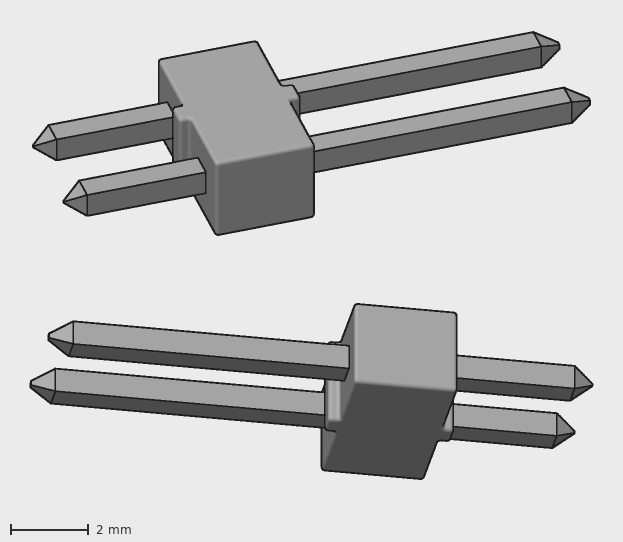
import cadquery as cq

total_length = 14.22
housing_width = 4.83
housing_depth = 2.69
housing_height = 2.35
edge_round = 0.102

rib_width = 0.63
rib_projection = 0.3

pin_pitch = 2.55
pin_size = 0.67
front_pin_length = 3.74
front_tip_length = 0.53
front_tip_size = 0.04
back_pin_length = total_length - housing_depth - front_pin_length
back_tip_length = 0.58
back_tip_size = 0.13

front_face_y = -housing_depth / 2
back_face_y = housing_depth / 2


def make_housing():
    """Block with a rib on the front and back, all edges rounded."""
    block = cq.Workplane("XY").box(housing_width, housing_depth, housing_height)
    ribs = cq.Workplane("XY").box(rib_width, housing_depth + 2 * rib_projection, housing_height)
    upright_edges_rounded = block.union(ribs).edges("|Z").fillet(edge_round)
    return upright_edges_rounded.faces("|Z").edges().fillet(edge_round)


def make_pin(x, face_y, direction, length, tip_length, tip_size):
    """Blunt-tipped pin on a housing face; direction is +1 for the back and -1 for the front."""
    face = cq.Plane(origin=(x, face_y, 0), xDir=(1, 0, 0), normal=(0, direction, 0))
    shank_length = length - tip_length
    shank = cq.Workplane(face).rect(pin_size, pin_size).extrude(shank_length)
    tip = (
        cq.Workplane(face)
        .workplane(offset=shank_length)
        .rect(pin_size, pin_size)
        .workplane(offset=tip_length)
        .rect(tip_size, tip_size)
        .loft(ruled=True)
    )
    return shank.union(tip)


housing = make_housing()

front_pins = []
back_pins = []
for x in (-pin_pitch / 2, pin_pitch / 2):
    front_pin = make_pin(x, front_face_y, -1, front_pin_length, front_tip_length, front_tip_size)
    back_pin = make_pin(x, back_face_y, 1, back_pin_length, back_tip_length, back_tip_size)
    front_pins.append(front_pin.val())
    back_pins.append(back_pin.val())

result = cq.Compound.makeCompound([housing.val(), *front_pins, *back_pins])